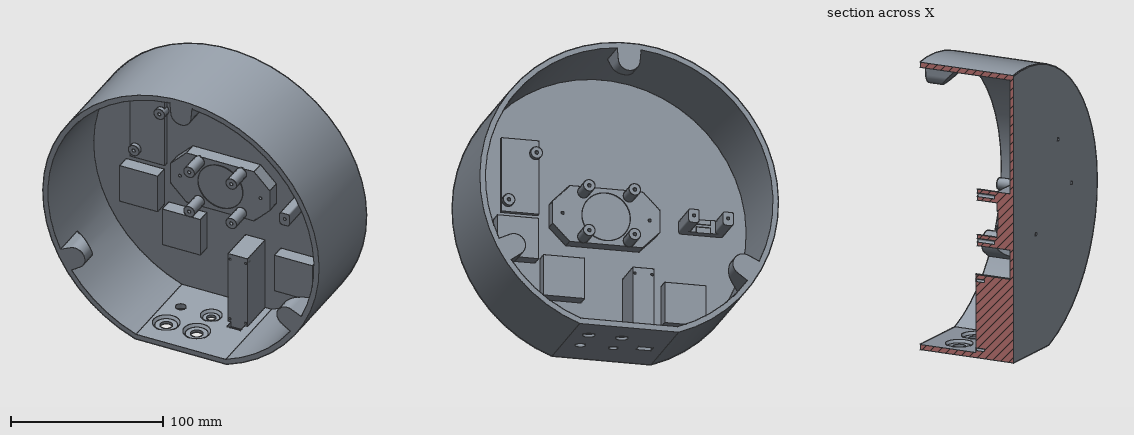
import cadquery as cq
import math

OUTER_RADIUS = 101.6
HOUSING_DEPTH = 69.85
WALL = 3.81
BACK_THICKNESS = 3.175
FLAT_Z = -95.87
BACK_EDGE_CHAMFER = 0.5

FRONT_Y = -HOUSING_DEPTH / 2
REAR_Y = HOUSING_DEPTH / 2
BACK_WALL_Y = REAR_Y - BACK_THICKNESS
INNER_RADIUS = OUTER_RADIUS - WALL
FLOOR_Z = FLAT_Z + WALL

LUG_ANGLES = (90, 210, 330)
LUG_TIP_Z = 82.58
LUG_NOSE_Z = 89.4
LUG_NOSE_HALF_WIDTH = 7.4
LUG_SIDE_TAPER = math.radians(5)
LUG_TIP_LENGTH = 9.525
LUG_ROOT_RADIUS = OUTER_RADIUS - WALL / 2

PAD_WIDTH = 72.9
PAD_HEIGHT = 38.7
PAD_CORNER = 11.6
PAD_THICKNESS = 9.525
SEAT_DIAMETER = 32.9
SEAT_DEPTH = 0.5
STANDOFF_SPACING = 31.0
STANDOFF_DIAMETER = 7.82
STANDOFF_LENGTH = 14.605
SCREW_HOLE = 2.29
SCREW_DEPTH = 12.7
THROUGH_STANDOFF = (-STANDOFF_SPACING / 2, -STANDOFF_SPACING / 2)
PAD_HOLE = 2.03
PAD_HOLE_X = 29.6
PAD_HOLE_DEPTH = 6.35

SQUARE_SIDE = 27.94
SQUARE_THICKNESS = 9.525
SQUARE_CENTERS = ((-59.9, -19.3), (-28.6, -44.1), (53.8, -55.8))

BOARD_PAD_CENTER = (-56.7, 25.2)
BOARD_PAD_SIZE = (25.4, 50.8)
BOARD_PAD_THICKNESS = 3.175
BOSS_CENTERS = ((-46.4, 41.4), (-65.2, 7.2))
BOSS_DIAMETER = 7.82
BOSS_LENGTH = 6.35

REACH = 25.4
REACH_Y = BACK_WALL_Y - REACH

TOWER_CENTER_X = 21.0
TOWER_WIDTH = 14.3
TOWER_TOP_Z = -38.9
TOWER_HOLE = 1.52
TOWER_HOLE_DEPTH = 6.35
TOWER_HOLE_SPACING_X = 11.6
TOWER_HOLE_SPACING_Z = 47.0
TOWER_HOLE_CENTER_Z = -66.4

BRACKET_CENTER_X = 67.0
BRACKET_WIDTH = 30.48
BRACKET_TOP_Z = 4.9
BRACKET_BOTTOM_Z = -4.2
BRACKET_LEG_WIDTH = 7.1
BRACKET_BAR = 6.35
BRACKET_LOWER_FILLET = 1.9
BRACKET_UPPER_FILLET = 1.2
BRACKET_HOLE = 2.03
BRACKET_HOLE_SPACING = 23.2
BRACKET_HOLE_Z = 0.65
BRACKET_HOLE_DEPTH = 12.7
NOTCH_WIDTH = 9.7
NOTCH_DEPTH = 0.64
NOTCH_RIB_TOP_Z = 1.6
NOTCH_RIB_BOTTOM_Z = -0.3

SUNK_HOLES = (
    (0.8, 7.6, 6.22, 14.4),
    (0.8, -13.5, 8.26, 18.3),
    (-21.6, -13.5, 8.26, 18.3),
)
SINK_DEPTH = WALL / 2
SINK_TAPER = 1.6
PLAIN_HOLE = (-21.6, 7.6, 6.99)
SLOT_LENGTH = 10.0
SLOT_WIDTH = 6.1

OVERLAP = 1.0


def front_plane(y):
    """Sketch plane at the given Y: local axes are X and Z, extrusion goes towards -Y."""
    return cq.Workplane("XZ", origin=(0, y, 0))


def block(x_min, x_max, y_min, y_max, z_min, z_max):
    size = (x_max - x_min, y_max - y_min, z_max - z_min)
    return cq.Workplane("XY").box(*size, centered=False).translate((x_min, y_min, z_min))


def flatted_disc(radius, flat_z, y_back, y_front):
    """Cylinder on the Y axis, cut off below flat_z."""
    half_flat = math.sqrt(radius**2 - flat_z**2)
    return (
        front_plane(y_back)
        .moveTo(-half_flat, flat_z)
        .threePointArc((0, radius), (half_flat, flat_z))
        .close()
        .extrude(y_back - y_front)
    )


def cylinders(points, diameter, y_base, length):
    """Round posts or drills at (x, z) points, running from y_base towards -Y."""
    return front_plane(y_base).pushPoints(points).circle(diameter / 2).extrude(length)


def make_shell():
    body = flatted_disc(OUTER_RADIUS, FLAT_Z, REAR_Y, FRONT_Y)
    body = body.faces(">Y").edges().chamfer(BACK_EDGE_CHAMFER)
    return body.cut(flatted_disc(INNER_RADIUS, FLOOR_Z, BACK_WALL_Y, FRONT_Y))


def make_lug(angle):
    """Round-nosed lug whose rear end slopes back to the wall at 45 degrees."""
    root_x = LUG_NOSE_HALF_WIDTH + (LUG_ROOT_RADIUS - LUG_NOSE_Z) * math.tan(LUG_SIDE_TAPER)
    root_length = LUG_TIP_LENGTH + LUG_ROOT_RADIUS - LUG_TIP_Z
    nose = (
        front_plane(FRONT_Y + root_length)
        .moveTo(-root_x, LUG_ROOT_RADIUS)
        .lineTo(-LUG_NOSE_HALF_WIDTH, LUG_NOSE_Z)
        .threePointArc((0, LUG_TIP_Z), (LUG_NOSE_HALF_WIDTH, LUG_NOSE_Z))
        .lineTo(root_x, LUG_ROOT_RADIUS)
        .close()
        .extrude(root_length)
    )
    side_profile = (
        cq.Workplane("YZ")
        .polyline([
            (FRONT_Y, LUG_TIP_Z),
            (FRONT_Y + LUG_TIP_LENGTH, LUG_TIP_Z),
            (FRONT_Y + root_length, LUG_ROOT_RADIUS),
            (FRONT_Y, LUG_ROOT_RADIUS),
        ])
        .close()
        .extrude(root_x, both=True)
    )
    return nose.intersect(side_profile).rotate((0, 0, 0), (0, 1, 0), 90 - angle)


def add_motor_mount(body):
    pad_y = BACK_WALL_Y - PAD_THICKNESS
    standoffs = [
        (sx * STANDOFF_SPACING / 2, sz * STANDOFF_SPACING / 2) for sx in (-1, 1) for sz in (-1, 1)
    ]
    pad = front_plane(BACK_WALL_Y + OVERLAP).rect(PAD_WIDTH, PAD_HEIGHT).extrude(PAD_THICKNESS + OVERLAP)
    pad = pad.edges("|Y").chamfer(PAD_CORNER)
    pad = pad.cut(cylinders([(0, 0)], SEAT_DIAMETER, pad_y + SEAT_DEPTH, SEAT_DEPTH))
    pad = pad.union(cylinders(standoffs, STANDOFF_DIAMETER, pad_y + OVERLAP, STANDOFF_LENGTH + OVERLAP))
    tip_y = pad_y - STANDOFF_LENGTH
    body = body.union(pad)
    body = body.cut(cylinders(standoffs, SCREW_HOLE, tip_y + SCREW_DEPTH, SCREW_DEPTH))
    pad_holes = [(-PAD_HOLE_X, 0), (PAD_HOLE_X, 0)]
    body = body.cut(cylinders([THROUGH_STANDOFF], SCREW_HOLE, REAR_Y, HOUSING_DEPTH))
    return body.cut(cylinders(pad_holes, PAD_HOLE, pad_y + PAD_HOLE_DEPTH, PAD_HOLE_DEPTH))


def add_square_pads(body):
    pads = (
        front_plane(BACK_WALL_Y + OVERLAP)
        .pushPoints(SQUARE_CENTERS)
        .rect(SQUARE_SIDE, SQUARE_SIDE)
        .extrude(SQUARE_THICKNESS + OVERLAP)
    )
    return body.union(pads)


def add_board_pad(body):
    pad = (
        front_plane(BACK_WALL_Y + OVERLAP)
        .center(*BOARD_PAD_CENTER)
        .rect(*BOARD_PAD_SIZE)
        .extrude(BOARD_PAD_THICKNESS + OVERLAP)
    )
    bosses = cylinders(BOSS_CENTERS, BOSS_DIAMETER, BACK_WALL_Y + OVERLAP, BOSS_LENGTH + OVERLAP)
    holes = cylinders(BOSS_CENTERS, SCREW_HOLE, REAR_Y, HOUSING_DEPTH)
    return body.union(pad).union(bosses).cut(holes)


def add_tower(body):
    half_width = TOWER_WIDTH / 2
    tower = block(
        TOWER_CENTER_X - half_width,
        TOWER_CENTER_X + half_width,
        REACH_Y,
        BACK_WALL_Y + OVERLAP,
        FLOOR_Z - OVERLAP,
        TOWER_TOP_Z,
    )
    holes = (
        front_plane(REACH_Y + TOWER_HOLE_DEPTH)
        .center(TOWER_CENTER_X, TOWER_HOLE_CENTER_Z)
        .rarray(TOWER_HOLE_SPACING_X, TOWER_HOLE_SPACING_Z, 2, 2)
        .circle(TOWER_HOLE / 2)
        .extrude(TOWER_HOLE_DEPTH)
    )
    return body.union(tower).cut(holes)


def round_bracket_edges(solid):
    """Round the four edges along Y, the lower pair more than the upper pair."""
    solid = solid.edges("|Y and <Z").fillet(BRACKET_LOWER_FILLET)
    return solid.edges("|Y and >Z").fillet(BRACKET_UPPER_FILLET)


def make_bracket_leg(x_center):
    half_width = BRACKET_LEG_WIDTH / 2
    leg = block(
        x_center - half_width,
        x_center + half_width,
        REACH_Y,
        BACK_WALL_Y,
        BRACKET_BOTTOM_Z,
        BRACKET_TOP_Z,
    )
    return round_bracket_edges(leg)


def add_bracket(body):
    half_width = BRACKET_WIDTH / 2
    bar_y = BACK_WALL_Y - BRACKET_BAR
    bar = block(
        BRACKET_CENTER_X - half_width,
        BRACKET_CENTER_X + half_width,
        bar_y,
        BACK_WALL_Y + OVERLAP,
        BRACKET_BOTTOM_Z,
        BRACKET_TOP_Z,
    )
    bar = round_bracket_edges(bar)
    notch_x = (BRACKET_CENTER_X - NOTCH_WIDTH / 2, BRACKET_CENTER_X + NOTCH_WIDTH / 2)
    notch_y = (bar_y, bar_y + NOTCH_DEPTH)
    bar = bar.cut(block(*notch_x, *notch_y, NOTCH_RIB_TOP_Z, BRACKET_TOP_Z))
    bar = bar.cut(block(*notch_x, *notch_y, BRACKET_BOTTOM_Z, NOTCH_RIB_BOTTOM_Z))
    leg_offset = (BRACKET_WIDTH - BRACKET_LEG_WIDTH) / 2
    for side in (-1, 1):
        bar = bar.union(make_bracket_leg(BRACKET_CENTER_X + side * leg_offset))
    hole_points = [
        (BRACKET_CENTER_X + side * BRACKET_HOLE_SPACING / 2, BRACKET_HOLE_Z) for side in (-1, 1)
    ]
    holes = cylinders(hole_points, BRACKET_HOLE, REACH_Y + BRACKET_HOLE_DEPTH, BRACKET_HOLE_DEPTH)
    return body.union(bar).cut(holes)


def floor_drill(x, y, diameter):
    return cq.Workplane("XY", origin=(x, y, FLAT_Z)).circle(diameter / 2).extrude(WALL)


def cut_floor_openings(body):
    for x, y, diameter, sink_diameter in SUNK_HOLES:
        sink = (
            cq.Workplane("XY", origin=(x, y, FLOOR_Z - SINK_DEPTH))
            .circle(sink_diameter / 2 - SINK_TAPER)
            .workplane(offset=SINK_DEPTH)
            .circle(sink_diameter / 2)
            .loft()
        )
        body = body.cut(floor_drill(x, y, diameter)).cut(sink)
    body = body.cut(floor_drill(*PLAIN_HOLE))
    half_slot = SLOT_LENGTH / 2
    slot = block(
        TOWER_CENTER_X - half_slot,
        TOWER_CENTER_X + half_slot,
        REACH_Y - SLOT_WIDTH,
        REACH_Y,
        FLAT_Z,
        FLOOR_Z,
    )
    return body.cut(slot)


housing = make_shell()
for lug_angle in LUG_ANGLES:
    housing = housing.union(make_lug(lug_angle))
housing = add_motor_mount(housing)
housing = add_square_pads(housing)
housing = add_board_pad(housing)
housing = add_tower(housing)
housing = add_bracket(housing)
housing = cut_floor_openings(housing)

result = housing